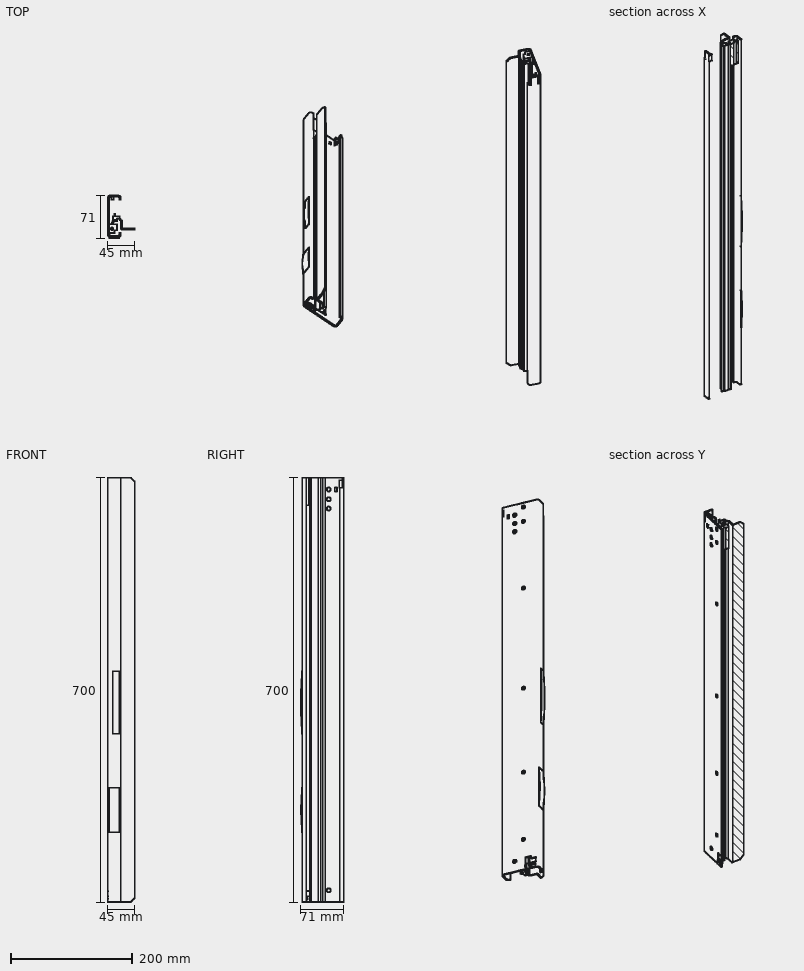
import cadquery as cq

LENGTH = 700.0
OVERALL_Y = 71.0
SHEET = 2.45
BOTTOM = -LENGTH / 2

RAIL_LEFT = -22.5
RAIL_DEPTH = 22.0
RAIL_TOP = OVERALL_Y / 2
BEND_RADIUS = 4.55
PAD_HEIGHT = 2.0
LIP_LENGTH = 7.0
RAIL_RIGHT = RAIL_LEFT + RAIL_DEPTH
RAIL_BOTTOM = PAD_HEIGHT - OVERALL_Y / 2
WEB_INNER = RAIL_LEFT + SHEET

MOUNT_HOLE_DIAMETER = 6.0
MOUNT_HOLE_Y = 10.5
MOUNT_HOLE_Z = (330.5, 314.0, 299.0, -330.5)
SLOT_WIDTH = 3.5
SLOT_HEIGHT = 6.0
SLOT_Y = 22.5
SLOT_Z = 330.5

FIXING_DIAMETER = 3.0
FIXING_HEAD_DIAMETER = 6.0
FIXING_Y = -5.5
FIXING_Z = (341.5, 314.0, 187.0, -4.0, -164.5, -292.5)

WINDOW_TOP = -327.5
WINDOW_BASE = -340.0
WINDOW_STEP = 4.0
WINDOW_INNER_Y = -9.0
WINDOW_STEP_Y = -19.5
WINDOW_OUTER_Y = RAIL_BOTTOM + BEND_RADIUS

DIMPLES = ((-10.0, 3.5), (-18.0, 5.5), (-26.0, 3.5))
DIMPLE_Z = -344.5
DIMPLE_DEPTH = 1.05

TAB_LEFT = -17.0
TAB_WIDTH = 4.0
TAB_TIP_Y = 28.0
TAB_BASE = 333.0
TAB_HEIGHT = 12.5
LANCE_LEFT = -21.0

LIP_NOTCH_LENGTH = 17.0

PAD_END_HEIGHT = 0.4
PAD_ROOT_DEPTH = 1.5
PAD_RIGHT = -3.5

SHELF_RIGHT = 22.5
SHELF_BOTTOM = -21.0
SHELF_CHAMFER = 7.0
UPRIGHT_RIGHT = 1.75
UPRIGHT_LEFT = UPRIGHT_RIGHT - SHEET
UPRIGHT_TOP = -7.0
SHELF_BEND_RADIUS = 2.0
ARM_TOP = 1.05
ARM_BOTTOM = -3.0
ARM_LEFT = -14.0
ARM_RIGHT = -2.45
ARM_STEP_LEFT = -4.0
FIN_LEFT = -12.0
FIN_WIDTH = 2.0
FIN_TOP = 5.0
LEG_RIGHT = -11.0
LEG_BEND_Y = -6.0
PRONG_ROOT_Y = -5.0
PRONG_TIP_Y = -7.0
PRONG_LEFT = -9.0
PRONG_RIGHT = -7.0
FOOT_LEFT = -17.0

BLOCK_LENGTH = 45.5
BLOCK_TOP = -12.0
BLOCK_RIGHT = -7.0
BLOCK_STEP_Y = -22.5
BLOCK_STEP_X = -11.0
BLOCK_BOTTOM = -26.5
BLOCK_HOLE_X = -15.5
BLOCK_HOLE_Y = -19.5
BLOCK_HOLE_DIAMETER = 3.5


def box_between(x_range, y_range, z_range):
    """Axis-aligned box given by its limits on each axis."""
    (x0, x1), (y0, y1), (z0, z1) = x_range, y_range, z_range
    return cq.Workplane("XY").box(x1 - x0, y1 - y0, z1 - z0, centered=False).translate((x0, y0, z0))


def web_plane(y, z):
    """Workplane on the outer face of the web; its normal points out of the rail."""
    return cq.Workplane(cq.Plane(origin=(RAIL_LEFT, y, z), xDir=(0, -1, 0), normal=(-1, 0, 0)))


def make_channel():
    """Bent C channel with short lips."""
    full_length = (BOTTOM, BOTTOM + LENGTH)
    outer = box_between((RAIL_LEFT, RAIL_RIGHT), (RAIL_BOTTOM, RAIL_TOP), full_length)
    inner = box_between(
        (WEB_INNER, RAIL_RIGHT - SHEET), (RAIL_BOTTOM + SHEET, RAIL_TOP - SHEET), full_length
    )
    outer = outer.edges("|Z").fillet(BEND_RADIUS)
    inner = inner.edges("|Z").fillet(BEND_RADIUS - SHEET)
    mouth = box_between(
        (RAIL_RIGHT - BEND_RADIUS, RAIL_RIGHT),
        (RAIL_BOTTOM + LIP_LENGTH, RAIL_TOP - LIP_LENGTH),
        full_length,
    )
    return outer.cut(inner).cut(mouth)


def cut_web_holes(rail):
    """Mounting holes, slot and countersunk fixing holes, all through the web only."""
    for z in MOUNT_HOLE_Z:
        rail = rail.cut(web_plane(MOUNT_HOLE_Y, z).circle(MOUNT_HOLE_DIAMETER / 2).extrude(-SHEET))
    rail = rail.cut(web_plane(SLOT_Y, SLOT_Z).rect(SLOT_WIDTH, SLOT_HEIGHT).extrude(-SHEET))
    sink_depth = (FIXING_HEAD_DIAMETER - FIXING_DIAMETER) / 2
    for z in FIXING_Z:
        hole = web_plane(FIXING_Y, z).circle(FIXING_DIAMETER / 2).extrude(-SHEET)
        sink = cq.Solid.makeCone(
            FIXING_HEAD_DIAMETER / 2,
            FIXING_DIAMETER / 2,
            sink_depth,
            cq.Vector(RAIL_LEFT, FIXING_Y, z),
            cq.Vector(1, 0, 0),
        )
        rail = rail.cut(hole).cut(cq.Workplane(obj=sink))
    return rail


def cut_latch_window(rail):
    """Stepped opening in the web at the lower end."""
    window = (
        cq.Workplane("YZ", origin=(RAIL_LEFT, 0, 0))
        .moveTo(WINDOW_INNER_Y, WINDOW_BASE)
        .lineTo(WINDOW_OUTER_Y, WINDOW_BASE)
        .lineTo(WINDOW_OUTER_Y, WINDOW_TOP - WINDOW_STEP)
        .lineTo(WINDOW_STEP_Y, WINDOW_TOP - WINDOW_STEP)
        .lineTo(WINDOW_STEP_Y, WINDOW_TOP)
        .lineTo(WINDOW_INNER_Y, WINDOW_TOP)
        .close()
        .extrude(SHEET)
    )
    return rail.cut(window)


def cut_dimples(rail):
    """Row of shallow dimples between the latch window and the lower end."""
    for y, diameter in DIMPLES:
        rail = rail.cut(web_plane(y, DIMPLE_Z).circle(diameter / 2).extrude(-DIMPLE_DEPTH))
    return rail


def cut_lip_notch(rail):
    """Relief at the top end that takes away the upper lip and its bend."""
    top = BOTTOM + LENGTH
    notch = box_between(
        (RAIL_RIGHT - BEND_RADIUS, RAIL_RIGHT),
        (RAIL_TOP - LIP_LENGTH, RAIL_TOP),
        (top - LIP_NOTCH_LENGTH, top),
    )
    return rail.cut(notch)


def add_stop_tab(rail):
    """Tab hanging into the channel beside the opening it was lanced from."""
    z_range = (TAB_BASE, TAB_BASE + TAB_HEIGHT)
    opening = box_between((LANCE_LEFT, TAB_LEFT), (RAIL_TOP - BEND_RADIUS, RAIL_TOP), z_range)
    tab = box_between((TAB_LEFT, TAB_LEFT + TAB_WIDTH), (TAB_TIP_Y, RAIL_TOP - SHEET / 2), z_range)
    return rail.cut(opening).union(tab)


def make_pad(left, top, crest_top, crest_base, base):
    """Pad on the lower wall, rising from both ends to a flat crest."""
    root = RAIL_BOTTOM + PAD_ROOT_DEPTH
    end = RAIL_BOTTOM - PAD_END_HEIGHT
    crest = RAIL_BOTTOM - PAD_HEIGHT
    outline = [(root, top), (end, top), (crest, crest_top), (crest, crest_base), (end, base), (root, base)]
    return cq.Workplane("YZ", origin=(left, 0, 0)).polyline(outline).close().extrude(PAD_RIGHT - left)


def make_rail():
    rail = make_channel()
    rail = cut_web_holes(rail)
    rail = cut_latch_window(rail)
    rail = cut_dimples(rail)
    rail = cut_lip_notch(rail)
    rail = add_stop_tab(rail)
    middle_pad = make_pad(left=-14.0, top=31.0, crest_top=-3.0, crest_base=-38.5, base=-72.0)
    lower_pad = make_pad(left=-20.0, top=-161.0, crest_top=-194.5, crest_base=-201.0, base=-234.5)
    return rail.union(middle_pad).union(lower_pad)


def make_slide_profile():
    """Constant section: shelf, upright, sloping step, arm with fin, leg and prong."""
    outline = [
        (UPRIGHT_LEFT, SHELF_BOTTOM),
        (SHELF_RIGHT, SHELF_BOTTOM),
        (SHELF_RIGHT, SHELF_BOTTOM + SHEET),
        (UPRIGHT_RIGHT, SHELF_BOTTOM + SHEET),
        (UPRIGHT_RIGHT, UPRIGHT_TOP),
        (ARM_RIGHT, ARM_BOTTOM),
        (ARM_RIGHT, ARM_TOP),
        (FIN_LEFT + FIN_WIDTH, ARM_TOP),
        (FIN_LEFT + FIN_WIDTH, FIN_TOP),
        (FIN_LEFT, FIN_TOP),
        (FIN_LEFT, ARM_TOP),
        (ARM_LEFT, ARM_TOP),
        (ARM_LEFT, LEG_BEND_Y),
        (FOOT_LEFT, BLOCK_TOP),
        (FOOT_LEFT + SHEET, BLOCK_TOP),
        (LEG_RIGHT, LEG_BEND_Y),
        (LEG_RIGHT, PRONG_ROOT_Y),
        (PRONG_LEFT, PRONG_ROOT_Y),
        (PRONG_LEFT, PRONG_TIP_Y),
        (PRONG_RIGHT, PRONG_TIP_Y),
        (PRONG_RIGHT, ARM_BOTTOM),
        (ARM_STEP_LEFT, ARM_BOTTOM),
        (UPRIGHT_LEFT, UPRIGHT_TOP),
    ]
    profile = cq.Workplane("XY", origin=(0, 0, BOTTOM)).polyline(outline).close().extrude(LENGTH)
    bend_edge = cq.NearestToPointSelector((UPRIGHT_LEFT, SHELF_BOTTOM, 0))
    return profile.edges(bend_edge).fillet(SHELF_BEND_RADIUS).edges("|Y and >X").chamfer(SHELF_CHAMFER)


def make_end_block():
    """Stepped block with a small hole along Z."""
    outline = [
        (WEB_INNER, BLOCK_TOP),
        (BLOCK_RIGHT, BLOCK_TOP),
        (BLOCK_RIGHT, BLOCK_STEP_Y),
        (BLOCK_STEP_X, BLOCK_STEP_Y),
        (BLOCK_STEP_X, BLOCK_BOTTOM),
        (WEB_INNER, BLOCK_BOTTOM),
    ]
    base = cq.Workplane("XY", origin=(0, 0, BOTTOM + LENGTH - BLOCK_LENGTH))
    hole = base.center(BLOCK_HOLE_X, BLOCK_HOLE_Y).circle(BLOCK_HOLE_DIAMETER / 2).extrude(BLOCK_LENGTH)
    return base.polyline(outline).close().extrude(BLOCK_LENGTH).cut(hole)


def make_slide():
    return make_slide_profile().union(make_end_block())


rail = make_rail()
slide = make_slide()

result = cq.Compound.makeCompound([rail.solids().val(), slide.solids().val()])